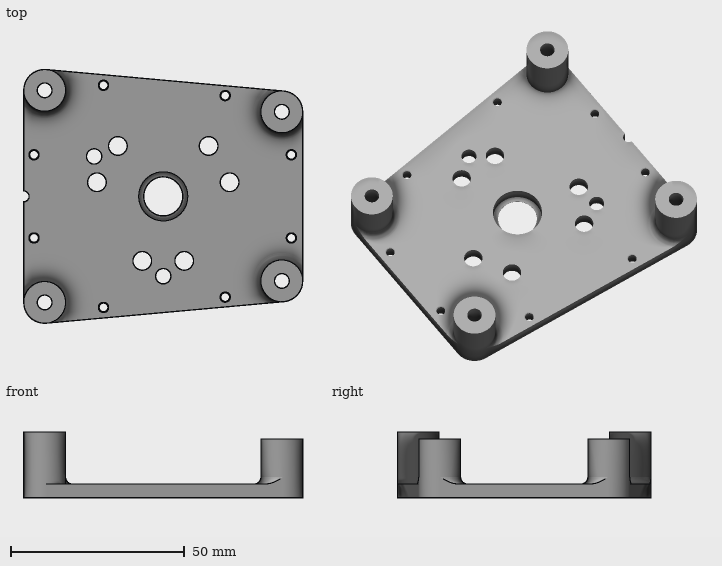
import cadquery as cq
import math

LENGTH = 80.3
PLATE_THICKNESS = 4.0
POST_RADIUS = 6.0
POST_X = LENGTH / 2 - POST_RADIUS
LEFT_POST_Y = 30.5
RIGHT_POST_Y = 24.3
LEFT_POST_HEIGHT = 19.0
RIGHT_POST_HEIGHT = 17.0
POST_HOLE_DIAMETER = 4.2
POST_FILLET = 2.0

BORE_DIAMETER = 11.2
COUNTERBORE_DIAMETER = 14.1
BORE_LIP = 0.1

PAIR_CIRCLE_RADIUS = 19.5
PAIR_HOLE_DIAMETER = 5.3
PAIR_HALF_ANGLE = 18
PAIR_ANGLES = (30, 150, 270)
SINGLE_CIRCLE_RADIUS = 23.0
SINGLE_HOLE_DIAMETER = 4.3
SINGLE_ANGLES = (150, 270)

RIM_HOLE_DIAMETER = 2.5
COUNTERSINK_WIDTH = 0.25
COUNTERSINK_DEPTH = 0.1
RIM_HOLES = ((-37.2, 12.0), (36.9, 12.0), (-17.2, 32.0), (17.8, 29.0))

NOTCH_RADIUS = 1.5


def cylinder(x, y, diameter, height, bottom=0.0):
    return cq.Workplane("XY", origin=(x, y, bottom)).circle(diameter / 2).extrude(height)


def polar(radius, degrees):
    angle = math.radians(degrees)
    return radius * math.cos(angle), radius * math.sin(angle)


def plate_blank(height):
    """Straight-sided plate between the tangent points; the posts round its corners."""
    half = LENGTH / 2
    taper = math.atan2(LEFT_POST_Y - RIGHT_POST_Y, 2 * POST_X)
    tangent_x = POST_RADIUS * math.sin(taper)
    tangent_y = POST_RADIUS * math.cos(taper)
    upper_points = [
        (-half, LEFT_POST_Y),
        (-POST_X + tangent_x, LEFT_POST_Y + tangent_y),
        (POST_X + tangent_x, RIGHT_POST_Y + tangent_y),
        (half, RIGHT_POST_Y),
    ]
    lower_points = [(x, -y) for x, y in reversed(upper_points)]
    return cq.Workplane("XY").polyline(upper_points + lower_points).close().extrude(height)


def fillet_ring(x, y):
    """Solid foot with a concave flank, rising from the plate to the post wall."""
    outer = POST_RADIUS + POST_FILLET
    top = PLATE_THICKNESS + POST_FILLET
    sag = POST_FILLET * (1 - math.sqrt(0.5))
    return (
        cq.Workplane("XZ")
        .lineTo(outer, 0)
        .lineTo(outer, PLATE_THICKNESS)
        .threePointArc((POST_RADIUS + sag, PLATE_THICKNESS + sag), (POST_RADIUS, top))
        .lineTo(0, top)
        .close()
        .revolve(360, (0, 0, 0), (0, 1, 0))
        .translate((x, y, 0))
    )


def rim_hole(x, y):
    hole = cylinder(x, y, RIM_HOLE_DIAMETER, PLATE_THICKNESS)
    mouth_radius = RIM_HOLE_DIAMETER / 2 + COUNTERSINK_WIDTH
    countersink = cq.Solid.makeCone(
        RIM_HOLE_DIAMETER / 2,
        mouth_radius,
        COUNTERSINK_DEPTH,
        pnt=cq.Vector(x, y, PLATE_THICKNESS - COUNTERSINK_DEPTH),
    )
    return hole.union(cq.Workplane(obj=countersink))


posts = []
for side in (-1, 1):
    posts.append((-POST_X, side * LEFT_POST_Y, LEFT_POST_HEIGHT))
    posts.append((POST_X, side * RIGHT_POST_Y, RIGHT_POST_HEIGHT))

result = plate_blank(PLATE_THICKNESS)
foot_limit = plate_blank(LEFT_POST_HEIGHT)
for x, y, height in posts:
    result = result.union(cylinder(x, y, 2 * POST_RADIUS, height))
    is_front_left = x < 0 and y < 0
    if not is_front_left:
        result = result.union(fillet_ring(x, y).intersect(foot_limit))

for x, y, height in posts:
    result = result.cut(cylinder(x, y, POST_HOLE_DIAMETER, height))

result = result.cut(cylinder(0, 0, BORE_DIAMETER, PLATE_THICKNESS))
result = result.cut(cylinder(0, 0, COUNTERBORE_DIAMETER, PLATE_THICKNESS, BORE_LIP))

for angle in PAIR_ANGLES:
    for offset in (-PAIR_HALF_ANGLE, PAIR_HALF_ANGLE):
        x, y = polar(PAIR_CIRCLE_RADIUS, angle + offset)
        result = result.cut(cylinder(x, y, PAIR_HOLE_DIAMETER, PLATE_THICKNESS))
for angle in SINGLE_ANGLES:
    x, y = polar(SINGLE_CIRCLE_RADIUS, angle)
    result = result.cut(cylinder(x, y, SINGLE_HOLE_DIAMETER, PLATE_THICKNESS))

for x, y in RIM_HOLES:
    for side in (-1, 1):
        result = result.cut(rim_hole(x, side * y))

result = result.cut(cylinder(-LENGTH / 2, 0, 2 * NOTCH_RADIUS, PLATE_THICKNESS))